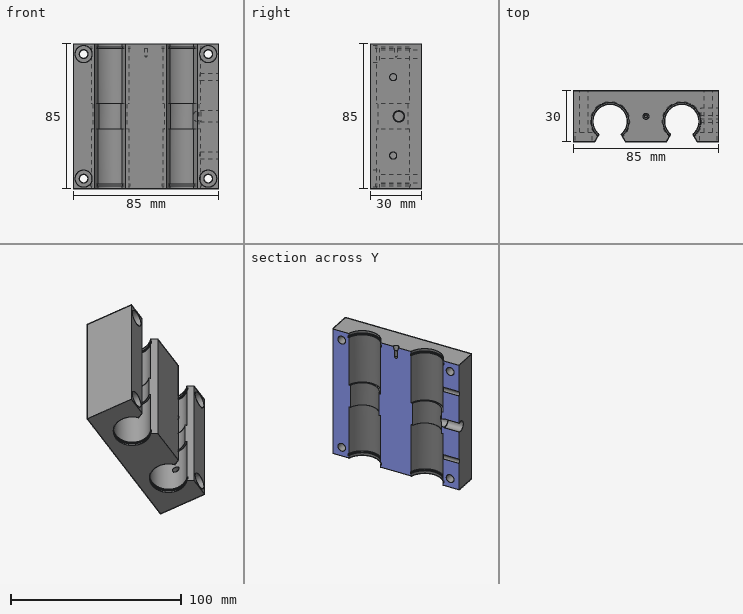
import cadquery as cq
import math

LENGTH = 85.0
DEPTH = 30.0
FRONT_Y = -DEPTH / 2

BORE_X = 21.0
BORE_Y = FRONT_Y + 12.1
BORE_DIAMETER = 22.0
LAND_DIAMETER = 20.0
LAND_LENGTH = 15.05
RING_GROOVE_DIAMETER = 23.0
RING_GROOVE_WIDTH = 1.0
RING_GROOVE_INSET = 1.9
MOUTH_WIDTH = 18.1
MOUTH_HALF_ANGLE = 30.0

MOUNT_INSET = 6.0
MOUNT_DIAMETER = 4.9
MOUNT_HEAD_DIAMETER = 10.0
MOUNT_HEAD_DEPTH = 5.4

SCREW_DIAMETER = 4.2
SCREW_Y = -1.6
SCREW_Z = 22.95
PORT_DIAMETER = 6.0
PORT_Y = 1.7
PORT_HEAD_DIAMETER = 6.6
PORT_HEAD_DEPTH = 10.2

OIL_DIAMETER = 3.5
OIL_PILOT_DIAMETER = 1.6
OIL_PILOT_DEPTH = 4.25
OIL_CONE_DEPTH = 2.8


def cylinder_z(diameter, length, x, y, z_middle):
    return cq.Workplane("XY").cylinder(length, diameter / 2).translate((x, y, z_middle))


def bore(x):
    """Stepped bore with a ring groove near each end and a tapered mouth through the front face."""
    end_length = (LENGTH - LAND_LENGTH) / 2
    groove_z = LENGTH / 2 - RING_GROOVE_INSET - RING_GROOVE_WIDTH / 2
    cutter = cylinder_z(LAND_DIAMETER, LENGTH, x, BORE_Y, 0)
    for side in (-1, 1):
        end_z = side * (LENGTH - end_length) / 2
        cutter = cutter.union(cylinder_z(BORE_DIAMETER, end_length, x, BORE_Y, end_z))
        groove = cylinder_z(RING_GROOVE_DIAMETER, RING_GROOVE_WIDTH, x, BORE_Y, side * groove_z)
        cutter = cutter.union(groove)

    mouth_depth = BORE_Y - FRONT_Y
    half_outer = MOUTH_WIDTH / 2
    half_inner = half_outer - mouth_depth * math.tan(math.radians(MOUTH_HALF_ANGLE))
    mouth = (
        cq.Workplane("XY")
        .workplane(offset=-LENGTH / 2)
        .polyline([
            (x - half_outer, FRONT_Y),
            (x + half_outer, FRONT_Y),
            (x + half_inner, BORE_Y),
            (x - half_inner, BORE_Y),
        ])
        .close()
        .extrude(LENGTH)
    )
    return cutter.union(mouth)


def cross_hole(diameter, y, z, depth):
    """Round cutter going inward from the +X face."""
    return (
        cq.Workplane("YZ")
        .workplane(offset=LENGTH / 2)
        .center(y, z)
        .circle(diameter / 2)
        .extrude(-depth)
    )


def oil_hole():
    """Conical seat leading to a small pilot that ends in a point."""
    top = LENGTH / 2
    cone_end = top - OIL_CONE_DEPTH
    pilot_end = cone_end - OIL_PILOT_DEPTH
    return (
        cq.Workplane("XZ")
        .polyline([
            (0, top),
            (-OIL_DIAMETER / 2, top),
            (-OIL_PILOT_DIAMETER / 2, cone_end),
            (-OIL_PILOT_DIAMETER / 2, pilot_end),
            (0, pilot_end - OIL_PILOT_DIAMETER / 2),
        ])
        .close()
        .revolve(360, (0, 0), (0, 1))
    )


result = cq.Workplane("XY").box(LENGTH, DEPTH, LENGTH)

for bore_x in (-BORE_X, BORE_X):
    result = result.cut(bore(bore_x))

mount_spacing = LENGTH - 2 * MOUNT_INSET
result = (
    result.faces("<Y")
    .workplane(origin=(0, FRONT_Y, 0))
    .rarray(mount_spacing, mount_spacing, 2, 2)
    .cboreHole(MOUNT_DIAMETER, MOUNT_HEAD_DIAMETER, MOUNT_HEAD_DEPTH)
)

cross_depth = LENGTH / 2 - BORE_X
for screw_z in (-SCREW_Z, SCREW_Z):
    result = result.cut(cross_hole(SCREW_DIAMETER, SCREW_Y, screw_z, cross_depth))
result = result.cut(cross_hole(PORT_DIAMETER, PORT_Y, 0, cross_depth))
result = result.cut(cross_hole(PORT_HEAD_DIAMETER, PORT_Y, 0, PORT_HEAD_DEPTH))

result = result.cut(oil_hole())